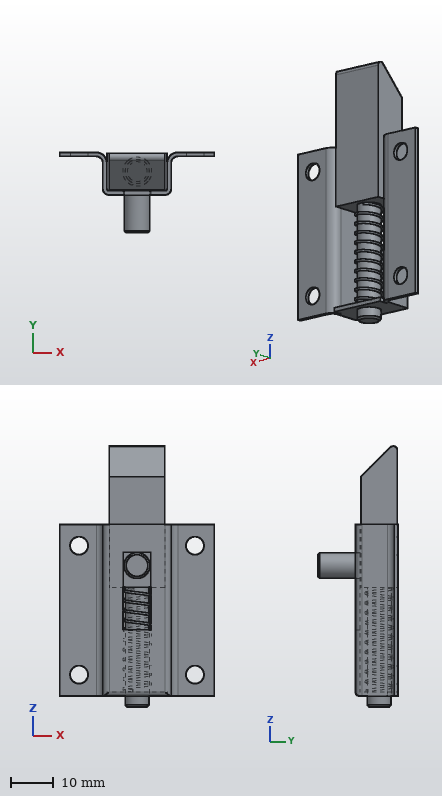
import cadquery as cq
import math


housing_width = 36.0
housing_height = 40.0
housing_depth = 10.0
sheet = 1.0
channel_width = 16.0
bend_inner = 0.55
bend_outer = bend_inner + sheet
flange_bend_inner = 1.5
flange_bend_outer = flange_bend_inner + sheet
bottom_bend = 1.0
slot_width = 6.5
slot_bottom = 15.45
slot_height = 18.0
hole_diameter = 4.15
hole_spacing_x = 27.0
hole_spacing_z = 30.05

total_height = 60.8
total_depth = 18.7
rod_projection = 2.55
bolt_width = 13.0
bolt_depth = 8.5
bolt_back_gap = 0.2
bolt_bottom = 25.35
bolt_top = total_height - rod_projection
tip_round = 1.0
knob_diameter = 6.0
knob_z = 30.4
rod_diameter = 5.6
end_chamfer = 0.5

bolt_back = -bolt_back_gap
bolt_front = bolt_back - bolt_depth
bolt_mid_y = (bolt_back + bolt_front) / 2

wire_diameter = 0.55
spring_clearance = 0.03
spring_turns = 10.4
spring_start_angle = 250.0
spring_radius = (rod_diameter + wire_diameter) / 2 + spring_clearance
spring_bottom = sheet + wire_diameter / 2 + spring_clearance
spring_top = bolt_bottom - wire_diameter / 2 - spring_clearance
spring_height = spring_top - spring_bottom
spring_pitch = spring_height / spring_turns


def make_hat():
    """Bent strip with two flanges, a front web and rounded bends."""
    half_outer = channel_width / 2
    half_inner = half_outer - sheet
    half_width = housing_width / 2
    web_inner = sheet - housing_depth
    outline = [
        (-half_width, 0), (-half_inner, 0), (-half_inner, web_inner),
        (half_inner, web_inner), (half_inner, 0), (half_width, 0),
        (half_width, -sheet), (half_outer, -sheet), (half_outer, -housing_depth),
        (-half_outer, -housing_depth), (-half_outer, -sheet), (-half_width, -sheet),
    ]
    hat = cq.Workplane("XY").polyline(outline).close().extrude(housing_height)
    bends = [
        (half_inner, 0, flange_bend_outer),
        (half_outer, -sheet, flange_bend_inner),
        (half_inner, web_inner, bend_inner),
        (half_outer, -housing_depth, bend_outer),
    ]
    for x, y, radius in bends:
        for side in (-1, 1):
            corner = cq.selectors.NearestToPointSelector((side * x, y, housing_height / 2))
            hat = hat.edges("|Z").edges(corner).fillet(radius)
    return hat


def make_bottom_wall():
    """Bottom flap that fills the channel from side wall to side wall."""
    flap_front = sheet / 2 - housing_depth
    flap_depth = bolt_back - flap_front
    return (
        cq.Workplane("XY")
        .box(channel_width - 2 * sheet, flap_depth, sheet, centered=(True, False, False))
        .translate((0, flap_front, 0))
    )


def make_housing():
    envelope = (
        cq.Workplane("XY")
        .box(housing_width, housing_depth, housing_height, centered=(True, False, False))
        .translate((0, -housing_depth, 0))
        .edges("<Y and <Z")
        .fillet(bottom_bend)
    )
    body = make_hat().union(make_bottom_wall()).intersect(envelope)
    mounting_holes = (
        cq.Workplane("XZ", origin=(0, 0, housing_height / 2))
        .rarray(hole_spacing_x, hole_spacing_z, 2, 2)
        .circle(hole_diameter / 2)
        .extrude(sheet)
    )
    slot = (
        cq.Workplane("XY")
        .box(slot_width, sheet, slot_height, centered=(True, False, False))
        .translate((0, -housing_depth, slot_bottom))
    )
    rod_hole = cq.Workplane("XY").center(0, bolt_mid_y).circle(rod_diameter / 2).extrude(sheet)
    return body.cut(mounting_holes).cut(slot).cut(rod_hole)


def make_bolt():
    sharp_tip = bolt_top + tip_round * math.sqrt(2)
    bevel_bottom = sharp_tip - bolt_depth
    block = (
        cq.Workplane("YZ", origin=(-bolt_width / 2, 0, 0))
        .moveTo(bolt_back, bolt_bottom)
        .lineTo(bolt_back, sharp_tip)
        .lineTo(bolt_front, bevel_bottom)
        .lineTo(bolt_front, bolt_bottom)
        .close()
        .extrude(bolt_width)
        .edges("|X and >Z")
        .fillet(tip_round)
    )
    knob = (
        cq.Workplane("XZ", origin=(0, bolt_mid_y, knob_z))
        .circle(knob_diameter / 2)
        .extrude(total_depth + bolt_mid_y)
        .faces("<Y")
        .chamfer(end_chamfer)
    )
    rod = (
        cq.Workplane("XY", origin=(0, bolt_mid_y, -rod_projection))
        .circle(rod_diameter / 2)
        .extrude(bolt_bottom + rod_projection)
        .faces("<Z")
        .chamfer(end_chamfer)
    )
    return block.union(knob).union(rod)


def make_spring():
    """Left-handed helical wire between the bottom wall and the block."""
    helix = cq.Wire.makeHelix(spring_pitch, spring_height, spring_radius, lefthand=True)
    rise_per_radian = spring_pitch / (2 * math.pi)
    start_direction = cq.Vector(0, -spring_radius, rise_per_radian)
    start = cq.Plane(origin=(spring_radius, 0, 0), xDir=(1, 0, 0), normal=start_direction)
    wire = cq.Workplane(start).circle(wire_diameter / 2).sweep(cq.Workplane(helix), isFrenet=True)
    return wire.rotate((0, 0, 0), (0, 0, 1), spring_start_angle).translate((0, bolt_mid_y, spring_bottom))


housing = make_housing()
bolt = make_bolt()
spring = make_spring()

result = cq.Compound.makeCompound([
    housing.solids().val(),
    bolt.solids().val(),
    spring.solids().val(),
])